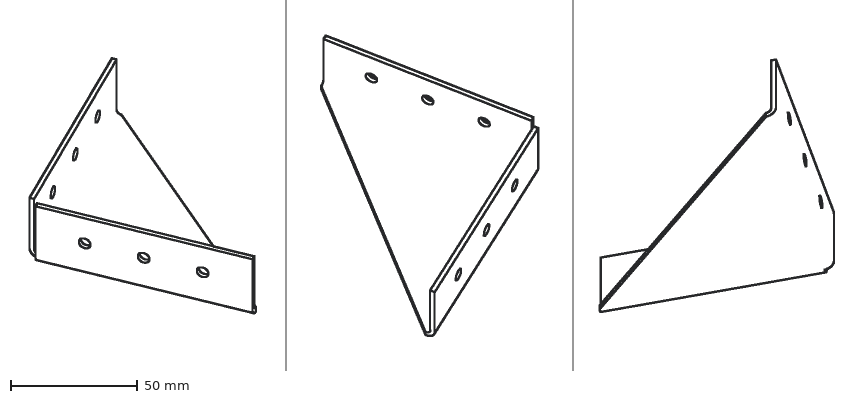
import cadquery as cq

side = 96.0
height = 30.0
thickness = 2.0
inner_radius = 2.0
hole_diameter = 4.9
hole_spacing = 25.0
hole_count = 3
hole_height = 17.0

bend_radius = inner_radius + thickness
flange_length = side - bend_radius


def make_base():
    """Flat triangular sheet between the two bend lines and the hypotenuse."""
    corners = [(bend_radius, bend_radius), (side, bend_radius), (bend_radius, side)]
    return cq.Workplane("XY").polyline(corners).close().extrude(thickness)


def make_x_flange():
    """Upright flange along X with its bend, pierced by a row of holes."""
    diagonal = 0.5 ** 0.5
    outer_mid = bend_radius * (1 - diagonal)
    inner_mid = bend_radius - inner_radius * diagonal
    flange = (
        cq.Workplane("YZ", origin=(bend_radius, 0, 0))
        .moveTo(bend_radius, 0)
        .threePointArc((outer_mid, outer_mid), (0, bend_radius))
        .lineTo(0, height)
        .lineTo(thickness, height)
        .lineTo(thickness, bend_radius)
        .threePointArc((inner_mid, inner_mid), (bend_radius, thickness))
        .close()
        .extrude(flange_length)
    )
    hole_centres = [(hole_spacing * (i + 1), hole_height) for i in range(hole_count)]
    holes = (
        cq.Workplane("XZ")
        .pushPoints(hole_centres)
        .circle(hole_diameter / 2)
        .extrude(-thickness)
    )
    return flange.cut(holes)


x_flange = make_x_flange()
y_flange = x_flange.rotate((0, 0, 0), (0, 0, 1), 90).mirror("YZ")

result = make_base().union(x_flange).union(y_flange)